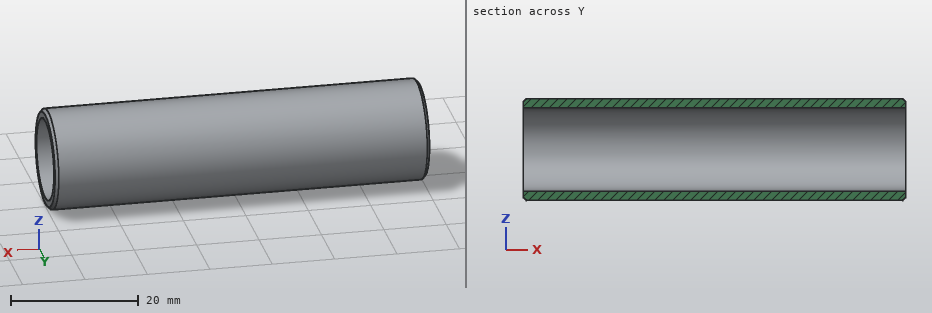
import cadquery as cq

length = 60.0
outer_diameter = 16.0
bore_diameter = 13.0
rim_chamfer = 0.5

body = cq.Workplane("YZ").circle(outer_diameter / 2).extrude(length)
body = body.faces("<X or >X").chamfer(rim_chamfer)

bore = cq.Workplane("YZ").circle(bore_diameter / 2).extrude(length)

result = body.cut(bore)